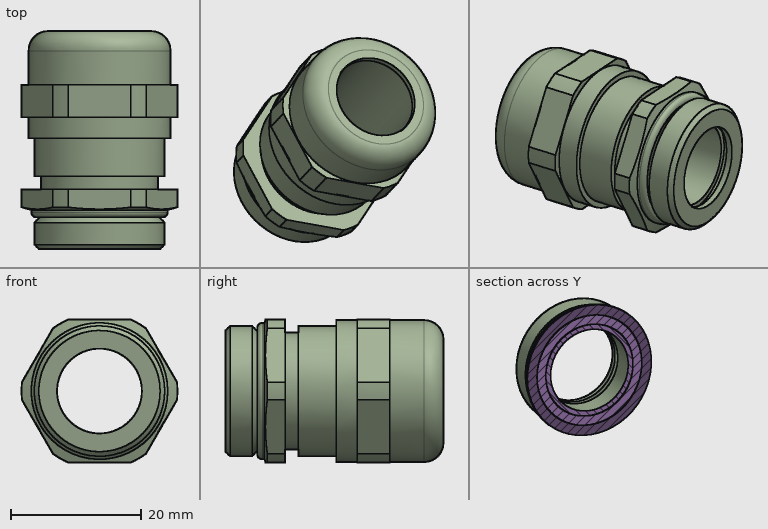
import cadquery as cq
import math

LENGTH = 33.5

HEX_ACROSS_FLATS = 22.0
HEX_CORNER_RADIUS = 12.0

THREAD_RADIUS = 10.0
NECK_RADIUS = 9.0
GROOVE_RADIUS = 8.88
ENTRY_CHAMFER = 0.7
THREAD_END = 4.1
BODY_HEX_FRONT = 6.0
BODY_HEX_BACK = 9.18
HEX_BEVEL_DEPTH = 0.45
NECK_END = 11.2

RING_OUTER_RADIUS = 10.5
RING_NOSE_CENTRE = 5.65

CAP_RADIUS = 10.92
CAP_START = 17.02
CAP_HEX_FRONT = 20.25
CAP_HEX_BACK = 25.23
CAP_DOME_RADIUS = 3.0

BORE_RADIUS = 6.5
SLEEVE_RADIUS = 7.3
LIP_THICKNESS = 1.0
SLEEVE_START = 2.0


def cylinder(radius, start, end):
    """Solid cylinder about the Y axis from y = start to y = end."""
    return cq.Workplane("XZ", origin=(0, start, 0)).circle(radius).extrude(start - end)


def rounded_hexagon(start, end):
    """Hexagon with flats at top and bottom, its corners turned down to a cylinder."""
    across_corners = HEX_ACROSS_FLATS / math.cos(math.radians(30))
    prism = cq.Workplane("XZ", origin=(0, start, 0)).polygon(6, across_corners).extrude(start - end)
    return prism.intersect(cylinder(HEX_CORNER_RADIUS, start, end))


def revolve_about_y(outline):
    """Turn a closed outline in the XY plane fully about the Y axis."""
    return outline.revolve(360, (0, 0, 0), (0, 1, 0))


def make_sealing_ring():
    """Ring on the groove floor with a half-round front and a flat back seated against the body hexagon."""
    nose_radius = (RING_OUTER_RADIUS - GROOVE_RADIUS) / 2
    return revolve_about_y(
        cq.Workplane("XY")
        .moveTo(GROOVE_RADIUS, BODY_HEX_FRONT)
        .lineTo(GROOVE_RADIUS, RING_NOSE_CENTRE)
        .threePointArc(
            (GROOVE_RADIUS + nose_radius, RING_NOSE_CENTRE - nose_radius),
            (RING_OUTER_RADIUS, RING_NOSE_CENTRE),
        )
        .lineTo(RING_OUTER_RADIUS, BODY_HEX_FRONT)
        .close()
    )


def bevelled_body_hexagon():
    """Body hexagon with its front face turned to a shallow cone that starts at the sealing ring."""
    envelope = revolve_about_y(
        cq.Workplane("XY")
        .moveTo(0, BODY_HEX_FRONT)
        .lineTo(RING_OUTER_RADIUS, BODY_HEX_FRONT)
        .lineTo(HEX_CORNER_RADIUS, BODY_HEX_FRONT + HEX_BEVEL_DEPTH)
        .lineTo(HEX_CORNER_RADIUS, BODY_HEX_BACK)
        .lineTo(0, BODY_HEX_BACK)
        .close()
    )
    return rounded_hexagon(BODY_HEX_FRONT, BODY_HEX_BACK).intersect(envelope)


def make_body():
    taper_length = THREAD_RADIUS - GROOVE_RADIUS
    turned = revolve_about_y(
        cq.Workplane("XY")
        .moveTo(0, 0)
        .lineTo(THREAD_RADIUS - ENTRY_CHAMFER, 0)
        .lineTo(THREAD_RADIUS, ENTRY_CHAMFER)
        .lineTo(THREAD_RADIUS, THREAD_END)
        .lineTo(GROOVE_RADIUS, THREAD_END + taper_length)
        .lineTo(GROOVE_RADIUS, BODY_HEX_FRONT)
        .lineTo(NECK_RADIUS, BODY_HEX_FRONT)
        .lineTo(NECK_RADIUS, NECK_END)
        .lineTo(THREAD_RADIUS, NECK_END)
        .lineTo(THREAD_RADIUS, CAP_HEX_BACK)
        .lineTo(0, CAP_HEX_BACK)
        .close()
    )
    body = turned.union(bevelled_body_hexagon())
    body = body.cut(cylinder(BORE_RADIUS, 0, LIP_THICKNESS))
    return body.cut(cylinder(SLEEVE_RADIUS, LIP_THICKNESS, CAP_HEX_BACK))


def make_cap_nut():
    shell = cylinder(CAP_RADIUS, CAP_START, LENGTH).faces(">Y").edges().fillet(CAP_DOME_RADIUS)
    nut = shell.union(rounded_hexagon(CAP_HEX_FRONT, CAP_HEX_BACK))
    nut = nut.cut(cylinder(THREAD_RADIUS, CAP_START, CAP_HEX_BACK))
    nut = nut.cut(cylinder(SLEEVE_RADIUS, CAP_HEX_BACK, LENGTH - LIP_THICKNESS))
    return nut.cut(cylinder(BORE_RADIUS, LENGTH - LIP_THICKNESS, LENGTH))


def make_sleeve():
    sleeve_end = LENGTH - LIP_THICKNESS
    return cylinder(SLEEVE_RADIUS, SLEEVE_START, sleeve_end).cut(cylinder(BORE_RADIUS, SLEEVE_START, sleeve_end))


body = make_body()
sealing_ring = make_sealing_ring()
cap_nut = make_cap_nut()
sleeve = make_sleeve()

result = cq.Compound.makeCompound([body.val(), cap_nut.val(), sealing_ring.val(), sleeve.val()])